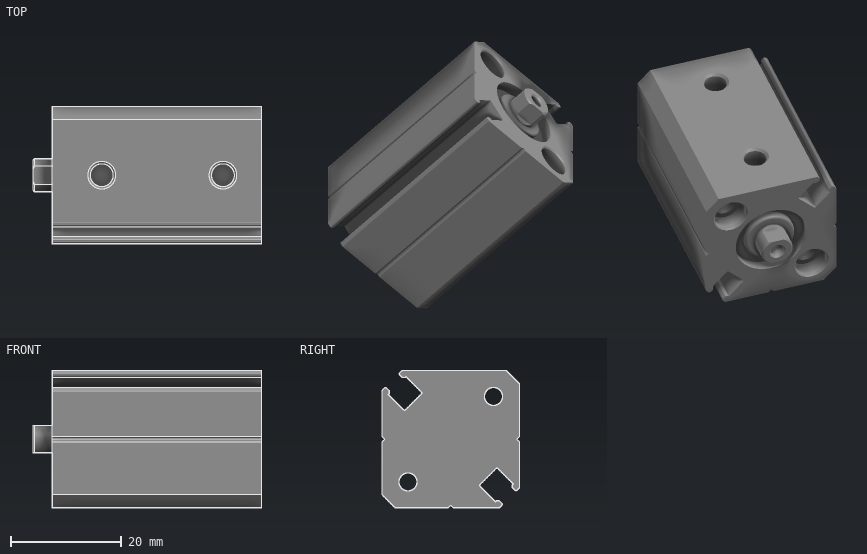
import cadquery as cq
import math

total_length = 41.5
housing_side = 25.0
half_side = housing_side / 2
rod_protrusion = 3.5
housing_length = total_length - rod_protrusion
corner_chamfer = 2.4

slot_wall_offset = 3.2
slot_mouth_offset = 2.35
slot_floor_sum = 13.55
lip_start = 8.85
lip_underside = 11.15
lip_relief = 0.15
lip_radius = 0.3
lip_shoulder_radius = 0.35
slot_corner_radius = 0.25

groove_half_width = 0.5

recess_diameter = 13.6
recess_depth = 2.08
collar_diameter = 9.5
collar_setback = 0.62
collar_fillet = 0.5

mount_offset = 7.75
mount_diameter = 3.25
mount_seat_diameter = 4.15
counterbore_diameter = 6.0
counterbore_rim_diameter = 6.5
counterbore_depth = 3.5

port_positions = (12.5, 34.5)
port_diameter = 4.15
port_rim_diameter = 5.02
port_depth = 4.15

rod_diameter = 6.0
rod_length = 16.6
rod_tip_chamfer = 0.3
flats_width = 5.0
flat_length = 3.5
flat_ramp_length = 0.5
rod_hole_diameter = 2.45
rod_hole_rim_diameter = 3.05
rod_hole_depth = 5.8
drill_point_angle = 118.0


def x_cylinder(diameter, start, length, y=0.0, z=0.0):
    return cq.Workplane("YZ", origin=(start, y, z)).circle(diameter / 2).extrude(length)


def countersink(diameter, rim_diameter, center, direction):
    """45 degree conical rim that narrows from rim_diameter to diameter."""
    depth = (rim_diameter - diameter) / 2
    cone = cq.Solid.makeCone(rim_diameter / 2, diameter / 2, depth,
                             cq.Vector(*center), cq.Vector(*direction))
    return cq.Workplane(obj=cone)


def along_housing(points):
    return cq.Workplane("YZ", origin=(rod_protrusion, 0, 0)).polyline(points).close().extrude(housing_length)


def sensor_slot():
    """Slot in the -Y, +Z edge, symmetric about the diagonal of the section."""
    tip_sum = lip_start + half_side
    upper = [
        (lip_start, half_side),
        ((tip_sum - slot_mouth_offset) / 2, (tip_sum + slot_mouth_offset) / 2),
        (lip_underside - slot_mouth_offset, lip_underside),
        (lip_underside + lip_relief - slot_wall_offset + lip_relief, lip_underside),
        (lip_underside + lip_relief - slot_wall_offset, lip_underside + lip_relief),
        ((slot_floor_sum - slot_wall_offset) / 2, (slot_floor_sum + slot_wall_offset) / 2),
    ]
    lower = [(z, outward) for outward, z in reversed(upper)]
    outline = [(-outward, z) for outward, z in upper + lower + [(half_side, half_side)]]
    slot = along_housing(outline)

    lip_tip, floor_corner = upper[1], upper[-1]
    for (a, b), radius in ((lip_tip, lip_radius), (floor_corner, slot_corner_radius)):
        for outward, z in ((a, b), (b, a)):
            middle = (rod_protrusion + housing_length / 2, -outward, z)
            slot = slot.edges(cq.selectors.NearestToPointSelector(middle)).fillet(radius)
    return slot


def round_lip_shoulders(body):
    """Round the edges between the flat outer faces and the lip bevels."""
    middle_x = rod_protrusion + housing_length / 2
    for side in (1, -1):
        for outward, z in ((lip_start, half_side), (half_side, lip_start)):
            shoulder = cq.selectors.NearestToPointSelector((middle_x, -side * outward, side * z))
            body = body.edges(shoulder).fillet(lip_shoulder_radius)
    return body


def v_groove():
    """Right-angled groove in the bottom face."""
    return along_housing([
        (-groove_half_width, -half_side),
        (0, groove_half_width - half_side),
        (groove_half_width, -half_side),
    ])


def mounting_hole(y, z):
    face = rod_protrusion
    seat = face + counterbore_depth
    hole = x_cylinder(mount_diameter, face, housing_length, y, z)
    hole = hole.union(x_cylinder(counterbore_diameter, face, counterbore_depth, y, z))
    hole = hole.union(countersink(counterbore_diameter, counterbore_rim_diameter, (face, y, z), (1, 0, 0)))
    return hole.union(countersink(mount_diameter, mount_seat_diameter, (seat, y, z), (1, 0, 0)))


def air_port(x):
    hole = cq.Workplane("XY", origin=(x, 0, half_side)).circle(port_diameter / 2).extrude(-port_depth)
    return hole.union(countersink(port_diameter, port_rim_diameter, (x, 0, half_side), (0, 0, -1)))


def cover_recess():
    """Round recess with the collar left standing on its floor."""
    collar = x_cylinder(collar_diameter, rod_protrusion + collar_setback, recess_depth - collar_setback)
    collar = collar.faces("<X").edges().fillet(collar_fillet)
    return x_cylinder(recess_diameter, rod_protrusion, recess_depth).cut(collar)


def make_housing():
    body = cq.Workplane("YZ", origin=(rod_protrusion, 0, 0)).rect(housing_side, housing_side)
    body = body.extrude(housing_length)
    for side in (1, -1):
        corner = cq.selectors.NearestToPointSelector(
            (rod_protrusion + housing_length / 2, side * half_side, side * half_side))
        body = body.edges(corner).chamfer(corner_chamfer)
    for angle in (0, 180):
        body = body.cut(sensor_slot().rotate((0, 0, 0), (1, 0, 0), angle))
    body = round_lip_shoulders(body)
    for angle in (-90, 0, 90):
        body = body.cut(v_groove().rotate((0, 0, 0), (1, 0, 0), angle))
    for side in (1, -1):
        body = body.cut(mounting_hole(side * mount_offset, side * mount_offset))
    for x in port_positions:
        body = body.cut(air_port(x))
    body = body.cut(cover_recess())
    return body.cut(x_cylinder(rod_diameter, 0, rod_length))


def wrench_flat():
    """Cutter for the upper flat, with a sloped run-out at its inner end."""
    flat = flats_width / 2
    top = rod_diameter / 2
    return (
        cq.Workplane("XZ")
        .polyline([(0, flat), (flat_length, flat), (flat_length + flat_ramp_length, top), (0, top)])
        .close()
        .extrude(rod_diameter / 2, both=True)
    )


def make_rod():
    rod = x_cylinder(rod_diameter, 0, rod_length).faces("<X").chamfer(rod_tip_chamfer)
    for angle in (0, 180):
        rod = rod.cut(wrench_flat().rotate((0, 0, 0), (1, 0, 0), angle))
    point_length = rod_hole_diameter / 2 / math.tan(math.radians(drill_point_angle / 2))
    point = cq.Solid.makeCone(rod_hole_diameter / 2, 0, point_length,
                              cq.Vector(rod_hole_depth, 0, 0), cq.Vector(1, 0, 0))
    hole = x_cylinder(rod_hole_diameter, 0, rod_hole_depth).union(cq.Workplane(obj=point))
    hole = hole.union(countersink(rod_hole_diameter, rod_hole_rim_diameter, (0, 0, 0), (1, 0, 0)))
    return rod.cut(hole)


housing = make_housing()
piston_rod = make_rod()
result = cq.Compound.makeCompound([housing.val(), piston_rod.val()])